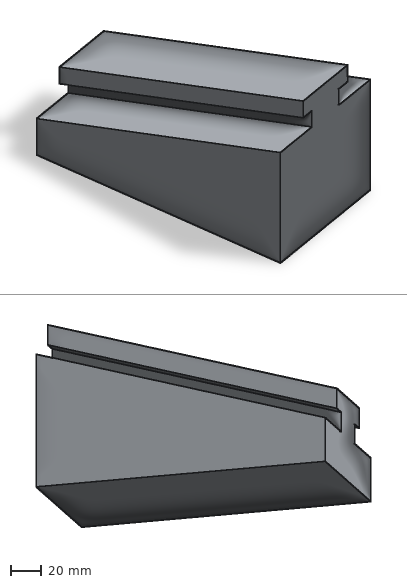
import cadquery as cq
import math

length = 200.0
width = 100.0
low_end_height = 30.0
slope_angle = 17.0
rise = length * math.tan(math.radians(slope_angle))

stem_width = 30.0
head_width = 49.5
stem_thickness = 12.8
head_thickness = 13.2


def vertical(thickness):
    """Height, measured along Z, of a layer lying on the slope."""
    return thickness / math.cos(math.radians(slope_angle))


stem_bottom = low_end_height
head_bottom = stem_bottom + vertical(stem_thickness)
head_top = head_bottom + vertical(head_thickness)


def sloped_bar(bar_width, top):
    """Flat-bottomed wedge centred on Y whose low end reaches the given top."""
    return (
        cq.Workplane("XZ")
        .polyline([(0, 0), (length, 0), (length, top + rise), (0, top)])
        .close()
        .extrude(bar_width / 2, both=True)
    )


base = sloped_bar(width, stem_bottom)
stem = sloped_bar(stem_width, head_bottom)
head = sloped_bar(head_width, head_top).cut(sloped_bar(head_width, head_bottom))

result = base.union(stem).union(head)